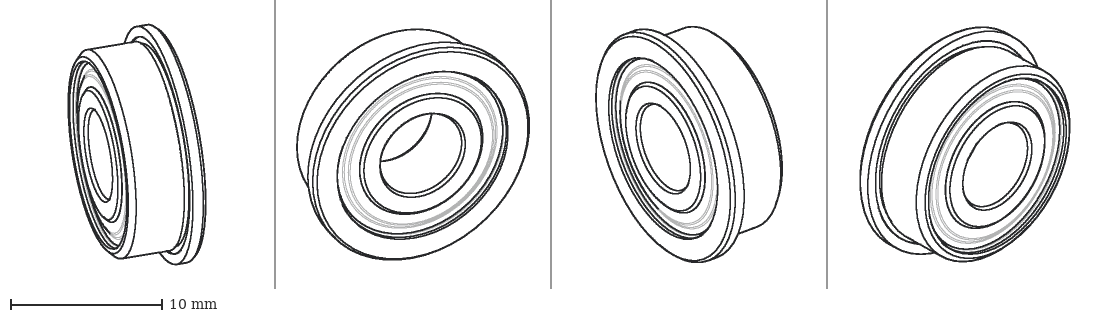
import cadquery as cq

width = 5.0
flange_radius = 7.98
body_radius = 7.0
bore_radius = 3.0

flange_thickness = 0.95
flange_chamfer_radial = 0.2
flange_chamfer_axial = 0.24
neck_radius = 6.81
neck_width = 0.29
undercut_radius = 7.27
undercut_depth = 0.1
body_chamfer = 0.41
seat_radius = 6.12
mouth_radius = 6.28
ledge_depth = 0.24
ledge_rounding = 0.11

inner_ring_radius = 4.53
inner_ring_chamfer = 0.2
bore_chamfer_radial = 0.15
bore_chamfer_axial = 0.25

shield_face_depth = 0.46
band_face_depth = 0.22
band_foot_radius = 5.63
band_top_radius = 5.31
bend_radius = 0.19

radius_tolerance = 0.002


def revolve_profile(points):
    """Revolve a closed (radius, Y) outline about the Y axis."""
    return cq.Workplane("XY").polyline(points).close().revolve(360, (0, 0, 0), (0, 1, 0))


def mirror_ends(points):
    """Complete an outline given at the Y = 0 end with its mirror image at the other end."""
    return points + [(radius, -width - y) for radius, y in reversed(points)]


def round_circles(body, circle_radii, rounding):
    """Fillet every circular edge of a body that has one of the given radii."""
    circles = [
        edge
        for edge in body.edges("%CIRCLE").vals()
        if any(abs(edge.radius() - radius) < radius_tolerance for radius in circle_radii)
    ]
    return body.newObject(circles).fillet(rounding)


def make_outer_ring():
    body_start = -flange_thickness - neck_width
    outside = [
        (flange_radius - flange_chamfer_radial, 0),
        (flange_radius, -flange_chamfer_axial),
        (flange_radius, -flange_thickness),
        (undercut_radius, -flange_thickness),
        (undercut_radius, -flange_thickness + undercut_depth),
        (neck_radius, -flange_thickness + undercut_depth),
        (neck_radius, body_start),
        (body_radius, body_start),
        (body_radius, -width + body_chamfer),
        (body_radius - body_chamfer, -width),
    ]
    mouth = [
        (mouth_radius, 0),
        (mouth_radius, -ledge_depth),
        (seat_radius, -ledge_depth),
    ]
    inside = mirror_ends(mouth)
    ring = revolve_profile(outside + list(reversed(inside)))
    return round_circles(ring, [seat_radius], ledge_rounding)


def make_inner_ring():
    end = [
        (bore_radius, -bore_chamfer_axial),
        (bore_radius + bore_chamfer_radial, 0),
        (inner_ring_radius - inner_ring_chamfer, 0),
        (inner_ring_radius, -inner_ring_chamfer),
    ]
    return revolve_profile(mirror_ends(end))


def make_shield():
    end = [
        (inner_ring_radius, -band_face_depth),
        (band_top_radius, -band_face_depth),
        (band_foot_radius, -shield_face_depth),
        (seat_radius, -shield_face_depth),
    ]
    annulus = revolve_profile(mirror_ends(end))
    return round_circles(annulus, [band_top_radius, band_foot_radius], bend_radius)


outer_ring = make_outer_ring()
inner_ring = make_inner_ring()
shield = make_shield()

result = cq.Compound.makeCompound([outer_ring.val(), inner_ring.val(), shield.val()])